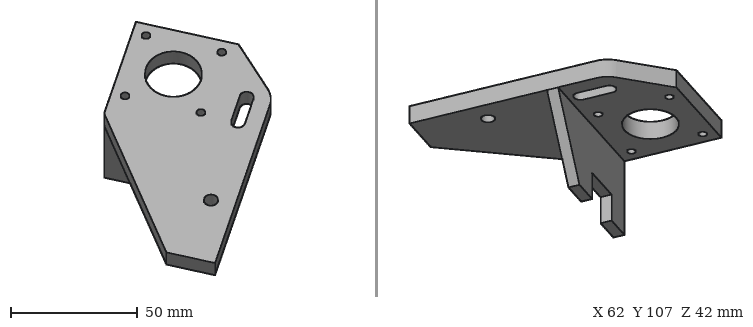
import cadquery as cq

plate_width = 62.0
plate_length = 107.0
plate_thickness = 8.0
total_height = 42.0
taper_x = 42.0
left_edge_start = 59.9
right_edge_end = 85.6
corner_radius = 10.7

motor_x = 21.2
motor_y = 85.9
motor_bore = 22.5
screw_spacing = 31.0
screw_diameter = 3.4

pivot_x = 52.1
pivot_y = 29.6
pivot_diameter = 5.6
slot_y = 76.2
slot_length = 18.2

web_thickness = 4.8
web_height = total_height - plate_thickness
notch_start = 12.1
notch_width = 18.0
notch_height = 12.0


def make_plate():
    """Tapered plate with its underside at Z = 0 and a rounded right corner."""
    plate = (
        cq.Workplane("XY")
        .moveTo(0, left_edge_start)
        .lineTo(taper_x, 0)
        .lineTo(plate_width, 0)
        .lineTo(plate_width, right_edge_end)
        .lineTo(taper_x, plate_length)
        .lineTo(0, plate_length)
        .close()
        .extrude(plate_thickness)
    )
    right_corner = cq.selectors.NearestToPointSelector(
        (plate_width, right_edge_end, plate_thickness / 2)
    )
    return plate.edges(right_corner).fillet(corner_radius)


def make_web():
    """Hanging web with a sloping right side and a notch in its lower edge."""
    notch_end = notch_start + notch_width
    notch_top = notch_height - web_height
    return (
        cq.Workplane("XZ", origin=(0, left_edge_start, 0))
        .moveTo(0, 0)
        .lineTo(0, -web_height)
        .lineTo(notch_start, -web_height)
        .lineTo(notch_start, notch_top)
        .lineTo(notch_end, notch_top)
        .lineTo(notch_end, -web_height)
        .lineTo(taper_x, -web_height)
        .lineTo(plate_width, 0)
        .close()
        .extrude(-web_thickness)
    )


def cut_motor_mount(plate):
    """Cut the motor bore and its four screw holes through the plate."""
    bore = cq.Workplane("XY").center(motor_x, motor_y).circle(motor_bore / 2)
    screws = (
        cq.Workplane("XY")
        .center(motor_x, motor_y)
        .rect(screw_spacing, screw_spacing, forConstruction=True)
        .vertices()
        .circle(screw_diameter / 2)
    )
    return plate.cut(bore.extrude(plate_thickness)).cut(screws.extrude(plate_thickness))


def cut_slot_and_pivot(plate):
    """Cut the adjustment slot and the pivot hole through the plate."""
    slot = cq.Workplane("XY").center(pivot_x, slot_y).slot2D(slot_length, pivot_diameter, 90)
    pivot = cq.Workplane("XY").center(pivot_x, pivot_y).circle(pivot_diameter / 2)
    return plate.cut(slot.extrude(plate_thickness)).cut(pivot.extrude(plate_thickness))


drilled_plate = cut_slot_and_pivot(cut_motor_mount(make_plate()))
result = drilled_plate.union(make_web())